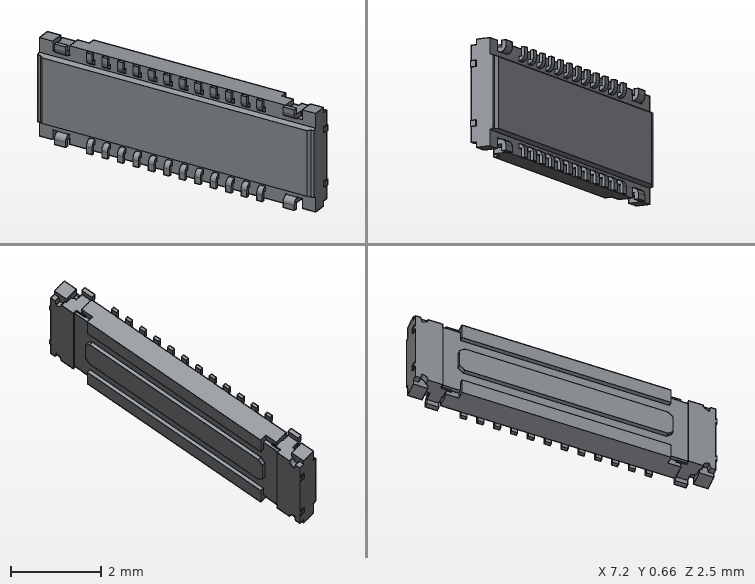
import cadquery as cq
import math


total_length = 7.2
total_height = 2.5
total_depth = 0.66

mating_y = total_depth / 2
solder_y = -total_depth / 2
end_y = 0.286
trough_y = 0.24
ledge_y = 0.155
face_y = -0.19
plate_end_y = -0.27
plate_y = -0.32

half_length = 3.57
half_height = 1.225
core_half_height = 1.1
end_inner_x = 2.92
core_step_z = 1.05
ledge_half_length = 2.67
ledge_lip_y = 0.18

rail_half_length = 2.485
rail_inner_z = 0.77
island_half_length = 2.535
island_half_height = 0.385
island_chamfer = 0.119

plate_base_half_height = 0.86
plate_half_height = 0.815
plate_shoulder_x = 3.495
plate_half_length = 3.42

groove_outer_x = 3.44
groove_bottom_x = 3.415
groove_inner_x = 3.27

nub_low_z = 0.605
nub_high_z = 0.745

slot_inner_x = 2.79
slot_outer_x = 3.225
slot_floor_z = 0.982
slot_back_y = -0.045
slot_corner_x = 0.09
slot_corner_y = 0.055
clip_inner_x = 2.81
clip_outer_x = 3.1
clip_bend_radius = 0.14
clip_thickness = 0.105

contact_count = 12
contact_pitch = 0.4
contact_width = 0.145
contact_base_z = 0.93
contact_inner_z = 1.04
contact_root_depth = 0.05
contact_bend_radius = 0.155
contact_thickness = 0.075

foot_tip_z = total_height / 2


def block(x_range, y_range, z_range):
    """Axis-aligned box given by its limits."""
    limits = (x_range, y_range, z_range)
    size = [high - low for low, high in limits]
    low_corner = tuple(low for low, high in limits)
    return cq.Workplane("XY").box(*size, centered=False).translate(low_corner)


def with_mirror(shape, plane):
    """Shape joined with its mirror image."""
    return shape.union(shape.mirror(plane))


def in_all_corners(shape):
    """Shape repeated in the four X-Z quadrants."""
    return with_mirror(with_mirror(shape, "YZ"), "XY")


def make_housing():
    core = block((-end_inner_x, end_inner_x), (face_y, trough_y), (-core_step_z, core_step_z))
    walls = block((-slot_inner_x, slot_inner_x), (face_y, ledge_y), (-half_height, half_height))
    housing = core.union(walls)
    ledge = block((ledge_half_length, end_inner_x), (face_y, ledge_lip_y), (0, core_half_height))
    housing = housing.union(in_all_corners(ledge))
    end = block((end_inner_x, half_length), (face_y, end_y), (-core_half_height, core_half_height))
    housing = housing.union(with_mirror(end, "YZ"))
    corner = block((slot_outer_x, half_length), (face_y, ledge_y), (0, half_height))
    return housing.union(in_all_corners(corner))


def make_rails():
    rail = block((-rail_half_length, rail_half_length), (face_y, mating_y), (rail_inner_z, half_height))
    return with_mirror(rail, "XY")


def make_island():
    island = block(
        (-island_half_length, island_half_length),
        (face_y, mating_y),
        (-island_half_height, island_half_height),
    )
    corner = (
        cq.Workplane("XZ", origin=(0, mating_y, 0))
        .moveTo(island_half_length, island_half_height)
        .lineTo(island_half_length - island_chamfer, island_half_height)
        .lineTo(island_half_length, island_half_height - island_chamfer)
        .close()
        .extrude(mating_y - trough_y)
    )
    return island.cut(in_all_corners(corner))


def make_plate():
    """Panel with sloped long edges and stepped ends."""
    profile = (
        cq.Workplane("YZ", origin=(-half_length, 0, 0))
        .polyline([
            (face_y, -plate_base_half_height),
            (plate_y, -plate_half_height),
            (plate_y, plate_half_height),
            (face_y, plate_base_half_height),
        ])
        .close()
        .extrude(2 * half_length)
    )
    end_step = (
        cq.Workplane("XY", origin=(0, 0, -half_height))
        .polyline([
            (plate_half_length, plate_y),
            (plate_shoulder_x, plate_end_y),
            (half_length, plate_end_y),
            (half_length, plate_y),
        ])
        .close()
        .extrude(2 * half_height)
    )
    return profile.cut(with_mirror(end_step, "YZ"))


def make_ledge_groove():
    radius = groove_bottom_x - groove_inner_x
    bottom_z = core_half_height - radius
    arc_offset = radius * math.sqrt(0.5)
    return (
        cq.Workplane("XZ", origin=(0, end_y, 0))
        .moveTo(groove_outer_x, core_half_height)
        .lineTo(groove_bottom_x, bottom_z)
        .threePointArc(
            (groove_bottom_x - arc_offset, core_half_height - arc_offset),
            (groove_inner_x, core_half_height),
        )
        .close()
        .extrude(end_y - ledge_y)
    )


def make_clip_slot():
    return (
        cq.Workplane("XY", origin=(0, 0, slot_floor_z))
        .polyline([
            (slot_inner_x, face_y),
            (slot_inner_x, slot_back_y),
            (slot_outer_x - slot_corner_x, slot_back_y),
            (slot_outer_x, slot_back_y + slot_corner_y),
            (slot_outer_x, face_y),
        ])
        .close()
        .extrude(core_half_height - slot_floor_z)
    )


def make_foot(x_start, width, root_y, base_z, inner_z, bend_radius, thickness):
    """Lead that leaves the housing along -Y and bends outward into a solder foot."""
    inner_y = solder_y + thickness
    bend_y = solder_y + bend_radius
    bend_z = base_z + bend_radius
    bend_offset = bend_radius * math.sqrt(0.5)
    return (
        cq.Workplane("YZ", origin=(x_start, 0, 0))
        .moveTo(root_y, base_z)
        .lineTo(bend_y, base_z)
        .threePointArc((bend_y - bend_offset, bend_z - bend_offset), (solder_y, bend_z))
        .lineTo(solder_y, foot_tip_z)
        .lineTo(inner_y, foot_tip_z)
        .lineTo(inner_y, inner_z)
        .lineTo(root_y, inner_z)
        .close()
        .extrude(width)
    )


def make_clips():
    clip = make_foot(
        clip_inner_x,
        clip_outer_x - clip_inner_x,
        slot_back_y,
        slot_floor_z,
        core_half_height,
        clip_bend_radius,
        clip_thickness,
    )
    return in_all_corners(clip)


def make_contacts():
    contacts = cq.Workplane("XY")
    for index in range(contact_count):
        center_x = (index - (contact_count - 1) / 2) * contact_pitch
        contact = make_foot(
            center_x - contact_width / 2,
            contact_width,
            face_y + contact_root_depth,
            contact_base_z,
            contact_inner_z,
            contact_bend_radius,
            contact_thickness,
        )
        contacts = contacts.union(contact)
    return with_mirror(contacts, "XY")


def make_nubs():
    nub = block((half_length, total_length / 2), (ledge_y, end_y), (nub_low_z, nub_high_z))
    return in_all_corners(nub)


body = make_housing().union(make_rails()).union(make_island()).union(make_plate())
body = body.cut(in_all_corners(make_ledge_groove()))
body = body.cut(in_all_corners(make_clip_slot()))
result = body.union(make_clips()).union(make_contacts()).union(make_nubs())